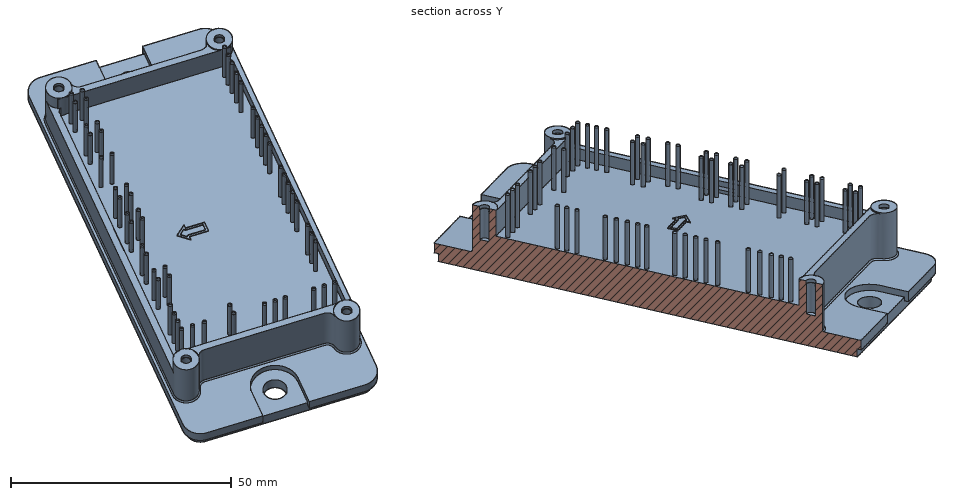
import cadquery as cq
LENGTH = 107.2
WIDTH = 47.0
FLANGE_OVERHANG = 1.0
FLANGE_CORNER_RADIUS = 4.3
FLANGE_BOTTOM = 2.0
FLANGE_TOP = 4.6
PLATE_LENGTH = LENGTH - 2 * FLANGE_OVERHANG
PLATE_WIDTH = WIDTH - 2 * FLANGE_OVERHANG
PLATE_TOP = 3.0

MOUNT_X = 46.5
MOUNT_HOLE_DIAMETER = 5.5
MOUNT_RECESS_WIDTH = 11.3

POST_X = 41.0
POST_DIAMETER = 6.0
POST_RADIUS = POST_DIAMETER / 2
POST_Y = PLATE_WIDTH / 2 - POST_RADIUS
POST_TOP = 16.8
POST_HOLE_DIAMETER = 2.1
POST_HOLE_DEPTH = 8.6
POST_MOUTH_DIAMETER = 2.4
POST_MOUTH_DEPTH = 0.9

END_WALL_OUTER_X = 39.7
END_WALL_TOP = 16.5
POST_BLEND_RADIUS = 2.0
SIDE_WALL_TOP = 13.0
BASE_CHAMFER = 0.3
CAVITY_HALF_LENGTH = 38.1
CAVITY_BACK_Y = 21.2
CAVITY_FRONT_Y = -20.8
CAVITY_BACK_RADIUS = 1.9
CAVITY_FRONT_RADIUS = 1.1
FLOOR = 10.1

RIB_LENGTH = 6.2
RIB_DEPTH = 0.4
RIB_HEIGHT = 1.5
RIB_SLOPE_DROP = 0.6

ARROW_X = 3.0
ARROW_TAIL_Y = -0.2
ARROW_SHAFT_HALF_WIDTH = 1.3
ARROW_HEAD_HALF_WIDTH = 2.3
ARROW_HEAD_Y = -4.8
ARROW_TIP_Y = -7.4
ARROW_LINE_WIDTH = 0.5
ARROW_HEIGHT = 0.2

PIN_DIAMETER = 1.0
PIN_TOP = 21.3
PIN_TIP_CHAMFER = 0.27
BACK_ROW_Y = 18.7
INNER_ROW_Y = -15.9
FRONT_ROW_Y = -18.5
END_COLUMN_X = 35.5
SECOND_COLUMN_X = 33.0
SECOND_COLUMN_Y = -5.9
BACK_ROW_X = [
    -35.5, -33.1, -30.7, -27.8, -24.9,
    -17.2, -14.3, -11.7, -9.0, -6.4,
    0.6, 2.9, 5.5, 8.3, 11.0,
    18.1, 20.7, 23.0,
]
PAIRED_X = [-35.5, -32.9, -25.8, -23.3, -16.3, -7.0, -4.2, 0.6, 3.2, 17.8, 20.5]
FRONT_ONLY_X = [10.3, 12.9, 28.2, 30.8, SECOND_COLUMN_X]
END_COLUMN_Y = [
    BACK_ROW_Y, 16.1, 13.5,
    6.6, 4.2, 1.6,
    SECOND_COLUMN_Y, -13.0, INNER_ROW_Y, FRONT_ROW_Y,
]

MOUNT_POINTS = [(-MOUNT_X, 0), (MOUNT_X, 0)]
POST_POINTS = [(sx * POST_X, sy * POST_Y) for sx in (-1, 1) for sy in (-1, 1)]


def box(x_min, x_max, y_min, y_max, z_min, z_max):
    return (
        cq.Workplane("XY", origin=((x_min + x_max) / 2, (y_min + y_max) / 2, z_min))
        .box(x_max - x_min, y_max - y_min, z_max - z_min, centered=(True, True, False))
    )


def cylinders(points, diameter, z_min, z_max):
    return (
        cq.Workplane("XY", origin=(0, 0, z_min))
        .pushPoints(points)
        .circle(diameter / 2)
        .extrude(z_max - z_min)
    )


def make_flange():
    flange = (
        box(-LENGTH / 2, LENGTH / 2, -WIDTH / 2, WIDTH / 2, FLANGE_BOTTOM, FLANGE_TOP)
        .edges("|Z").fillet(FLANGE_CORNER_RADIUS)
    )
    half_recess = MOUNT_RECESS_WIDTH / 2
    for side in (-1, 1):
        inner_x, outer_x = sorted((side * MOUNT_X, side * LENGTH / 2))
        flange = flange.cut(
            box(inner_x, outer_x, -half_recess, half_recess, FLANGE_BOTTOM, FLANGE_TOP)
        )
    return flange.cut(cylinders(MOUNT_POINTS, MOUNT_RECESS_WIDTH, FLANGE_BOTTOM, FLANGE_TOP))


def make_plate():
    return (
        box(-PLATE_LENGTH / 2, PLATE_LENGTH / 2, -PLATE_WIDTH / 2, PLATE_WIDTH / 2, 0, PLATE_TOP)
        .edges("|Z").fillet(FLANGE_CORNER_RADIUS - FLANGE_OVERHANG)
    )


def make_housing_block(height):
    """Outer shape of the housing: long walls tangent to the posts, end walls blended into them."""
    top = FLANGE_TOP + height
    half_width = PLATE_WIDTH / 2
    block = box(-END_WALL_OUTER_X, END_WALL_OUTER_X, -half_width, half_width, FLANGE_TOP, top)
    for y_min, y_max in ((-half_width, -POST_Y), (POST_Y, half_width)):
        block = block.union(box(-POST_X, POST_X, y_min, y_max, FLANGE_TOP, top))
    block = block.union(cylinders(POST_POINTS, POST_DIAMETER, FLANGE_TOP, top))
    blend_zone = cq.selectors.BoxSelector(
        (-END_WALL_OUTER_X - BASE_CHAMFER, -POST_Y, FLANGE_TOP),
        (END_WALL_OUTER_X + BASE_CHAMFER, POST_Y, top),
    )
    return block.edges("|Z").edges(blend_zone).fillet(POST_BLEND_RADIUS)


def make_base_chamfer():
    """Sloped skirt where the housing meets the flange."""
    outline = make_housing_block(BASE_CHAMFER).faces("<Z").wires().val()
    return (
        cq.Workplane("XY", origin=(0, 0, FLANGE_TOP))
        .add(outline)
        .toPending()
        .offset2D(BASE_CHAMFER)
        .extrude(BASE_CHAMFER, taper=45)
    )


def make_housing():
    """High end walls, lower long walls, cavity and full-height posts."""
    housing = make_housing_block(END_WALL_TOP - FLANGE_TOP)
    cavity = box(
        -CAVITY_HALF_LENGTH, CAVITY_HALF_LENGTH, CAVITY_FRONT_Y, CAVITY_BACK_Y, FLOOR, END_WALL_TOP
    )
    cavity = cavity.edges("|Z and >Y").fillet(CAVITY_BACK_RADIUS)
    cavity = cavity.edges("|Z and <Y").fillet(CAVITY_FRONT_RADIUS)
    housing = housing.cut(cavity)
    half_width = PLATE_WIDTH / 2
    housing = housing.cut(
        box(
            -CAVITY_HALF_LENGTH, CAVITY_HALF_LENGTH, -half_width, half_width,
            SIDE_WALL_TOP, END_WALL_TOP,
        )
    )
    for y_min, y_max in ((-half_width, CAVITY_FRONT_Y), (CAVITY_BACK_Y, half_width)):
        housing = housing.cut(box(-POST_X, POST_X, y_min, y_max, SIDE_WALL_TOP, END_WALL_TOP))
    housing = housing.union(make_base_chamfer())
    return housing.union(cylinders(POST_POINTS, POST_DIAMETER, FLANGE_TOP, POST_TOP))


def make_rib(wall_y, inward):
    return (
        cq.Workplane("YZ", origin=(-RIB_LENGTH / 2, 0, 0))
        .moveTo(wall_y, FLOOR)
        .lineTo(wall_y + inward * RIB_DEPTH, FLOOR)
        .lineTo(wall_y + inward * RIB_DEPTH, FLOOR + RIB_HEIGHT - RIB_SLOPE_DROP)
        .lineTo(wall_y, FLOOR + RIB_HEIGHT)
        .close()
        .extrude(RIB_LENGTH)
    )


def make_arrow():
    outline = (
        cq.Workplane("XY", origin=(ARROW_X, 0, FLOOR))
        .moveTo(-ARROW_SHAFT_HALF_WIDTH, ARROW_TAIL_Y)
        .lineTo(ARROW_SHAFT_HALF_WIDTH, ARROW_TAIL_Y)
        .lineTo(ARROW_SHAFT_HALF_WIDTH, ARROW_HEAD_Y)
        .lineTo(ARROW_HEAD_HALF_WIDTH, ARROW_HEAD_Y)
        .lineTo(0, ARROW_TIP_Y)
        .lineTo(-ARROW_HEAD_HALF_WIDTH, ARROW_HEAD_Y)
        .lineTo(-ARROW_SHAFT_HALF_WIDTH, ARROW_HEAD_Y)
        .close()
    )
    solid_arrow = outline.extrude(ARROW_HEIGHT)
    core = (
        solid_arrow.faces("<Z").wires().toPending()
        .offset2D(-ARROW_LINE_WIDTH).extrude(ARROW_HEIGHT, combine=False)
    )
    return solid_arrow.cut(core)


def make_pins():
    points = [(x, BACK_ROW_Y) for x in BACK_ROW_X]
    points += [(x, INNER_ROW_Y) for x in PAIRED_X]
    points += [(x, FRONT_ROW_Y) for x in PAIRED_X + FRONT_ONLY_X]
    points += [(END_COLUMN_X, y) for y in END_COLUMN_Y]
    points.append((SECOND_COLUMN_X, SECOND_COLUMN_Y))
    return cylinders(points, PIN_DIAMETER, FLOOR, PIN_TOP).faces(">Z").chamfer(PIN_TIP_CHAMFER)


result = make_plate().union(make_flange()).union(make_housing())
result = result.union(make_rib(CAVITY_BACK_Y, -1)).union(make_rib(CAVITY_FRONT_Y, 1))
result = result.union(make_arrow()).union(make_pins())
result = result.cut(cylinders(MOUNT_POINTS, MOUNT_HOLE_DIAMETER, 0, PLATE_TOP))
result = result.cut(cylinders(POST_POINTS, POST_HOLE_DIAMETER, POST_TOP - POST_HOLE_DEPTH, POST_TOP))
result = result.cut(cylinders(POST_POINTS, POST_MOUTH_DIAMETER, POST_TOP - POST_MOUTH_DEPTH, POST_TOP))